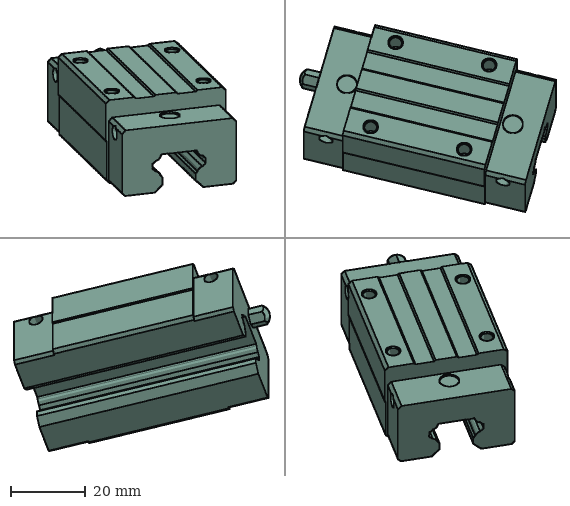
import cadquery as cq
import math


total_length = 66.7
nipple_length = 5.3
block_length = 39.35
body_length = total_length - nipple_length
body_center_x = nipple_length + body_length / 2
cap_length = (body_length - block_length) / 2

block_width = 34.0
block_height = 23.7
block_top_chamfer_width = 1.1
block_top_chamfer_height = 0.9
bottom_chamfer_width = 1.0
bottom_chamfer_height = 0.9
ledge_depth = 0.3
ledge_bottom_z = 11.9
ledge_top_z = 12.3

groove_depth = 0.4
groove_inner_y = 2.95
groove_outer_y = 8.95
groove_side_run = 0.5

cap_width = 32.35
cap_height = 18.7
cap_top_chamfer = 1.0
cap_bottom_chamfer = 0.9

rail_roof_half_width = 4.95
rail_roof_z = 10.7
track_center_z = 7.5
track_half_width = 7.55
track_half_height = 0.7
lobe_outer_y = 6.55
lobe_outer_offset = 1.55
lobe_mid_y = 5.7
lobe_mid_offset = 2.0
lobe_inner_y = 5.2
lobe_inner_offset = 2.8
throat_half_width = 4.7
throat_top_z = 4.1
throat_bottom_z = 2.1
mouth_half_width = 6.9

mount_pitch = 25.95
mount_radius = 1.7
mount_mouth_radius = 2.0
mount_depth = 6.0
drill_tip_angle = 118.0

top_port_radius = 2.7
top_port_depth = 0.5
top_port_spacing = 46.0
side_port_radius = 1.9
side_port_depth = 4.0
side_port_spacing = 49.1
side_port_z = 16.0

nipple_across_flats = 4.6
nipple_z = 15.75
nipple_dome_radius = 3.15


def mirrored_prism(half_outline, start_x, length):
    """Close a +Y half outline over Y = 0 and extrude it along +X."""
    other_half = [(-y, z) for y, z in reversed(half_outline)]
    plane = cq.Workplane("YZ", origin=(start_x, 0, 0))
    return plane.polyline(half_outline + other_half).close().extrude(length)


def make_block():
    half_width = block_width / 2
    lower_half_width = half_width - ledge_depth
    groove_floor_z = block_height - groove_depth
    half_outline = [
        (groove_inner_y, block_height),
        (groove_inner_y + groove_side_run, groove_floor_z),
        (groove_outer_y - groove_side_run, groove_floor_z),
        (groove_outer_y, block_height),
        (half_width - block_top_chamfer_width, block_height),
        (half_width, block_height - block_top_chamfer_height),
        (half_width, ledge_top_z),
        (lower_half_width, ledge_bottom_z),
        (lower_half_width, bottom_chamfer_height),
        (lower_half_width - bottom_chamfer_width, 0),
    ]
    return mirrored_prism(half_outline, nipple_length + cap_length, block_length)


def make_end_cap(start_x):
    half_width = cap_width / 2
    half_outline = [
        (half_width - cap_top_chamfer, cap_height),
        (half_width, cap_height - cap_top_chamfer),
        (half_width, cap_bottom_chamfer),
        (half_width - cap_bottom_chamfer, 0),
    ]
    return mirrored_prism(half_outline, start_x, cap_length)


def make_end_caps():
    block_end_x = total_length - cap_length
    return make_end_cap(nipple_length).union(make_end_cap(block_end_x))


def rail_half():
    """The +Y half of the rail opening, with rounded lobes above and below the ball track."""
    upper_lobe_top_z = track_center_z + lobe_inner_offset
    upper_lobe_mid_z = track_center_z + lobe_mid_offset
    upper_lobe_low_z = track_center_z + lobe_outer_offset
    lower_lobe_top_z = track_center_z - lobe_outer_offset
    lower_lobe_mid_z = track_center_z - lobe_mid_offset
    lower_lobe_low_z = track_center_z - lobe_inner_offset
    return (
        cq.Workplane("YZ", origin=(nipple_length, 0, 0))
        .moveTo(0, rail_roof_z)
        .lineTo(rail_roof_half_width, rail_roof_z)
        .lineTo(lobe_inner_y, upper_lobe_top_z)
        .threePointArc((lobe_mid_y, upper_lobe_mid_z), (lobe_outer_y, upper_lobe_low_z))
        .lineTo(track_half_width, track_center_z + track_half_height)
        .lineTo(track_half_width, track_center_z - track_half_height)
        .lineTo(lobe_outer_y, lower_lobe_top_z)
        .threePointArc((lobe_mid_y, lower_lobe_mid_z), (lobe_inner_y, lower_lobe_low_z))
        .lineTo(throat_half_width, throat_top_z)
        .lineTo(throat_half_width, throat_bottom_z)
        .lineTo(mouth_half_width, 0)
        .lineTo(0, 0)
        .close()
        .extrude(body_length)
    )


def make_rail_opening():
    half = rail_half()
    return half.union(half.mirror("XZ"))


def make_mounting_holes():
    """Blind holes with a 45 degree countersink and a conical drill tip."""
    countersink_depth = mount_mouth_radius - mount_radius
    tip_depth = mount_radius / math.tan(math.radians(drill_tip_angle / 2))
    hole = (
        cq.Workplane("XZ")
        .polyline([
            (0, 0),
            (mount_mouth_radius, 0),
            (mount_radius, -countersink_depth),
            (mount_radius, -mount_depth),
            (0, -mount_depth - tip_depth),
        ])
        .close()
        .revolve(360, (0, 0, 0), (0, 1, 0))
        .val()
    )
    return (
        cq.Workplane("XY", origin=(body_center_x, 0, block_height))
        .rarray(mount_pitch, mount_pitch, 2, 2)
        .eachpoint(lambda location: hole.moved(location), combine=True)
    )


def make_top_ports():
    return (
        cq.Workplane("XY", origin=(body_center_x, 0, cap_height - top_port_depth))
        .rarray(top_port_spacing, 0.7, 2, 1)
        .circle(top_port_radius)
        .extrude(top_port_depth)
    )


def make_side_ports():
    front_ports = (
        cq.Workplane("XZ", origin=(body_center_x, -cap_width / 2, side_port_z))
        .rarray(side_port_spacing, 0.7, 2, 1)
        .circle(side_port_radius)
        .extrude(-side_port_depth)
    )
    return front_ports.union(front_ports.mirror("XZ"))


def make_nipple():
    across_corners = nipple_across_flats / math.cos(math.pi / 6)
    hexagon = (
        cq.Workplane("YZ", origin=(0, 0, nipple_z))
        .transformed(rotate=(0, 0, 90))
        .polygon(6, across_corners)
        .extrude(nipple_length)
    )
    dome_angle = math.pi / 4
    dome_mid_x = nipple_dome_radius * (1 - math.cos(dome_angle))
    dome_mid_y = nipple_dome_radius * math.sin(dome_angle)
    domed_rod = (
        cq.Workplane("XY", origin=(0, 0, nipple_z))
        .threePointArc((dome_mid_x, dome_mid_y), (nipple_dome_radius, nipple_dome_radius))
        .lineTo(nipple_length, nipple_dome_radius)
        .lineTo(nipple_length, 0)
        .close()
        .revolve(360, (0, 0, 0), (1, 0, 0))
    )
    return hexagon.intersect(domed_rod)


result = (
    make_block()
    .union(make_end_caps())
    .cut(make_rail_opening())
    .cut(make_mounting_holes())
    .cut(make_top_ports())
    .cut(make_side_ports())
    .union(make_nipple())
)